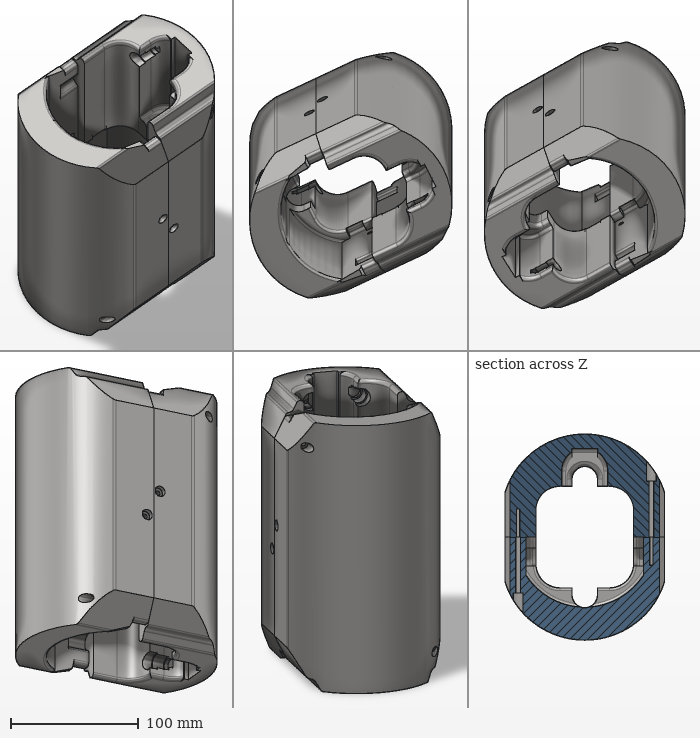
import cadquery as cq
import math

length = 219.0
width = 125.0
depth = 161.4
flat_half = 34.8
flat_blend = 7.9
end_face_width = 95.7
bevel_height = 29.0
edge_round = 2.0

rebate_inset = 4.4
rebate_depth = 9.0
rebate_inner_round = 4.8
rebate_outer_round = 2.0

bore_half = 38.0
bore_reach = 39.6
bore_corner = 18.6
key_radius = 9.9
key_center = 45.3
key_round = 4.2
slot_radius = 18.0
slot_center = 51.7
slot_reach = 65.7
slot_depth = 87.5
slot_round = 3.0
notch_half = 10.0
notch_reach = 69.2
cavity_radius = 54.7
cavity_half = 45.8
cavity_floor = 0.0
cavity_round = 2.2

passage_depth = 11.2
passage_length = 13.1
passage_round = 3.0
ramp_start = 15.0
ramp_start_depth = 6.1
ramp_end = 31.5

floor_round = 2.2
floor_slot_start = 8.5
floor_slot_end = 22.8
floor_slot_depth = 6.5
floor_slot_round = 2.8

latch_radius = 7.2
latch_x = 20.4
latch_inset = 14.2
latch_step = 46.0
latch_middle_radius = 6.1
latch_middle_end = 55.8
latch_tip_radius = 4.8
latch_end = 59.1
pocket_x = 45.1
pocket_inset = 31.8
pocket_reach = 18.0
pocket_round = 2.2

side_screw_y = 5.7
side_screw_z = 11.0
side_head_depth = 4.4
side_head = 8.5
side_shank = 4.0
face_screw_x = 52.1
face_screw_inset = 21.7
face_head_floor = 43.8
face_head = 7.5
face_shank = 3.5
pilot_diameter = 2.5
pilot_depth = 22.0

arc_inset = 1 - math.sqrt(0.5)
half_length = length / 2
half_width = width / 2
half_depth = depth / 2
bevel_width = (width - end_face_width) / 2
bevel_slope = bevel_width / bevel_height
end_half = end_face_width / 2
rebate_z = half_length - rebate_depth
rebate_outer = end_half + rebate_depth * bevel_slope
rebate_inner = rebate_outer - rebate_inset
rebate_top = end_half - rebate_inset
slot_floor = -half_length + slot_depth
passage_floor = half_length - passage_depth
passage_edge = end_half + passage_depth * bevel_slope


def block(x_half, y_reach, z_low, z_high, y_start=0.0):
    """Block centred on x = 0, running from y_start to y_reach on the -Y side."""
    return (
        cq.Workplane("XY")
        .box(2 * x_half, y_reach - y_start, z_high - z_low, centered=(True, False, False))
        .translate((0, -y_reach, z_low))
    )


def rod_y(x, z, diameter, reach, start=0.0):
    """Round cutter along -Y from y = -start to y = -reach."""
    return (
        cq.Workplane("XZ", origin=(x, -start, z)).circle(diameter / 2).extrude(reach - start)
    )


def upright_slot(radius, center, z_low, z_high):
    """Round-ended slot from the joint plane towards -Y."""
    return (
        cq.Workplane("XY", origin=(0, 0, z_low))
        .moveTo(radius, 0)
        .lineTo(radius, -center)
        .threePointArc((0, -center - radius), (-radius, -center))
        .lineTo(-radius, 0)
        .close()
        .extrude(z_high - z_low)
    )


def edges_near(body, points):
    """Selects the edges of the body nearest to the given points."""
    selection = body.edges(cq.NearestToPointSelector(points[0]))
    for point in points[1:]:
        selection = selection.add(body.edges(cq.NearestToPointSelector(point)))
    return selection


def outer_block():
    """D-shaped half prism trimmed to the bevelled and rebated side profile."""
    prism = (
        cq.Workplane("XY", origin=(0, 0, -half_length))
        .moveTo(half_width, 0)
        .lineTo(half_width, -flat_half)
        .threePointArc((0, -half_depth), (-half_width, -flat_half))
        .lineTo(-half_width, 0)
        .close()
        .extrude(length)
    )
    sides = (-1, 1)
    flat_corners = [(s * half_width, -flat_half, 0) for s in sides]
    prism = edges_near(prism, flat_corners).fillet(flat_blend)

    right_side = [
        (rebate_top, -half_length),
        (rebate_inner, -rebate_z),
        (rebate_outer, -rebate_z),
        (half_width, -half_length + bevel_height),
        (half_width, half_length - bevel_height),
        (end_half, half_length),
    ]
    left_side = [(-x, z) for x, z in reversed(right_side)]
    profile = cq.Workplane("XZ").polyline(right_side + left_side).close().extrude(depth)
    y_mid = -half_depth
    end_corners = [(s * end_half, y_mid, half_length) for s in sides]
    end_corners += [(s * rebate_top, y_mid, -half_length) for s in sides]
    profile = edges_near(profile, end_corners).fillet(edge_round)
    for x, radius in ((rebate_inner, rebate_inner_round), (rebate_outer, rebate_outer_round)):
        corners = [(s * x, y_mid, -rebate_z) for s in sides]
        profile = edges_near(profile, corners).fillet(radius)
    return prism.intersect(profile)


def cut_with_round_rim(body, cutter):
    """Cuts an opening into the closed end and rounds its rim on the end face."""
    margin = 0.2
    rim_zone = cq.selectors.BoxSelector(
        (-bore_half - margin, -margin, -half_length - margin),
        (bore_half + margin, -slot_center - slot_radius - margin, -half_length + margin),
    )
    return body.cut(cutter).edges(rim_zone).fillet(slot_round)


def cut_closed_end(body):
    """Bore, wide keyway and flat-backed notch; the rims of bore and keyway are rounded."""
    bore = block(bore_half, bore_reach, -half_length, cavity_floor)
    bore = bore.edges("|Z and <Y").fillet(bore_corner)
    slot = upright_slot(slot_radius, slot_center, -half_length, slot_floor)
    slot = slot.faces(">Z").edges("not >Y").fillet(slot_round)
    notch = block(notch_half, notch_reach, -half_length, slot_floor)
    notch = notch.faces(">Z").edges("<Y").fillet(slot_round)
    with_bore = cut_with_round_rim(body, bore)
    slot_space = body.cut(cut_with_round_rim(body, slot))
    slot_space = slot_space.intersect(block(half_width, slot_reach, -half_length, half_length))
    return with_bore.cut(slot_space).cut(notch)


def level_passage():
    """Level part of the right-hand passage, with rounded floor edges."""
    bevel_angle = math.atan2(bevel_height, bevel_width)
    tangent = passage_round * math.tan(bevel_angle / 2)
    arc_mid = passage_round * math.sin(bevel_angle / 2)
    arc_drop = passage_round * (1 - math.cos(bevel_angle / 2))
    outer_start = passage_edge - tangent
    outer_end = (
        passage_edge + tangent * math.cos(bevel_angle),
        passage_floor - tangent * math.sin(bevel_angle),
    )
    inner_start = cavity_half + passage_round
    inner_mid = passage_round * arc_inset
    return (
        cq.Workplane("XZ")
        .moveTo(cavity_half, half_length)
        .lineTo(half_width, half_length)
        .lineTo(half_width, outer_end[1])
        .lineTo(*outer_end)
        .threePointArc((outer_start + arc_mid, passage_floor - arc_drop), (outer_start, passage_floor))
        .lineTo(inner_start, passage_floor)
        .threePointArc(
            (cavity_half + inner_mid, passage_floor - inner_mid),
            (cavity_half, passage_floor - passage_round),
        )
        .close()
        .extrude(passage_length)
    )


def passage_ramp():
    """Upper part of the right-hand passage, with the ramp that rises to the end face."""
    return (
        cq.Workplane("YZ", origin=(cavity_half, 0, 0))
        .moveTo(0, half_length)
        .lineTo(0, passage_floor)
        .lineTo(-passage_length, passage_floor)
        .lineTo(-ramp_start, half_length - ramp_start_depth)
        .lineTo(-ramp_end, half_length)
        .close()
        .extrude(half_width - cavity_half)
    )


def cut_open_end(body):
    """Round cavity with flat side walls and passages that break through the bevels."""
    rim_mid = cavity_round * arc_inset
    round_space = (
        cq.Workplane("XZ")
        .moveTo(0, cavity_floor)
        .lineTo(cavity_radius, cavity_floor)
        .lineTo(cavity_radius, half_length - cavity_round)
        .threePointArc(
            (cavity_radius + rim_mid, half_length - rim_mid),
            (cavity_radius + cavity_round, half_length),
        )
        .lineTo(0, half_length)
        .close()
        .revolve(360, (0, 0, 0), (0, 1, 0))
    )
    cavity = round_space.intersect(block(cavity_half, depth, cavity_floor, half_length))
    cavity = edges_near(cavity, [(0, -cavity_radius, cavity_floor)]).fillet(cavity_round)
    body = body.cut(cavity)
    for passage in (level_passage(), passage_ramp()):
        body = body.cut(passage).cut(passage.mirror("YZ"))
    return body


def cut_keyway(body):
    """Round-ended keyway through the half, rounded where it meets the floor of the wide keyway."""
    key = upright_slot(key_radius, key_center, -half_length, half_length)
    body = body.cut(key)
    rim = [(0, -key_center - key_radius, slot_floor)]
    rim += [(side * key_radius, -(bore_reach + key_center) / 2, slot_floor) for side in (-1, 1)]
    return edges_near(body, rim).fillet(key_round)


def round_cavity_floor(body):
    """Rounds the bore edge on the cavity floor."""
    corner_mid = bore_corner * arc_inset
    edges = []
    for side in (-1, 1):
        edges.append((side * (bore_half - corner_mid), -bore_reach + corner_mid, cavity_floor))
        edges.append((side * bore_half, -(bore_reach - bore_corner) / 2, cavity_floor))
        edges.append((side * (key_radius + bore_half - bore_corner) / 2, -bore_reach, cavity_floor))
    return edges_near(body, edges).fillet(floor_round)


def cut_floor_slots(body):
    """Shallow slots in the cavity floor beside the bore."""
    for side in (-1, 1):
        slot = block(
            (cavity_half - bore_half) / 2,
            floor_slot_end,
            cavity_floor - floor_slot_depth,
            cavity_floor,
            floor_slot_start,
        )
        slot = slot.faces("<Z").edges("|Y").fillet(floor_slot_round)
        body = body.cut(slot.translate((side * (cavity_half + bore_half) / 2, 0, 0)))
    return body


def cut_latch_recesses(body):
    """Stepped recesses between bore and wide keyway, and round pockets in the cavity walls."""
    for side in (-1, 1):
        latch_z = latch_inset - half_length
        pocket_z = half_length - pocket_inset
        for radius, reach in (
            (latch_radius, latch_step),
            (latch_middle_radius, latch_middle_end),
            (latch_tip_radius, latch_end),
        ):
            body = body.cut(rod_y(side * latch_x, latch_z, 2 * radius, reach))
        body = body.cut(rod_y(side * pocket_x, pocket_z, 2 * latch_radius, pocket_reach))
    pocket_edges = [
        (side * cavity_half, -pocket_reach / 2, half_length - pocket_inset + end * latch_radius)
        for side in (-1, 1)
        for end in (-1, 1)
    ]
    return edges_near(body, pocket_edges).fillet(pocket_round)


def cut_side_screws(body):
    """Counterbored screw holes through both side flats."""
    for side in (-1, 1):
        start = cq.Vector(side * half_width, -side_screw_y, side_screw_z)
        inward = cq.Vector(-side, 0, 0)
        shank = cq.Solid.makeCylinder(side_shank / 2, half_width, start, inward)
        head = cq.Solid.makeCylinder(side_head / 2, side_head_depth, start, inward)
        body = body.cut(cq.Workplane(shank)).cut(cq.Workplane(head))
    return body


def cut_face_screws(body):
    """Counterbored screw holes along Y, and pilot holes for the screws of the other half."""
    screw_z = half_length - face_screw_inset
    for x, z in ((-face_screw_x, screw_z), (face_screw_x, -screw_z)):
        body = body.cut(rod_y(x, z, face_head, half_depth, face_head_floor))
        body = body.cut(rod_y(x, z, face_shank, half_depth))
        body = body.cut(rod_y(x, -z, pilot_diameter, pilot_depth))
    return body


def housing_half(turn):
    """One half, made on the -Y side and turned about X into its place."""
    body = outer_block()
    body = cut_closed_end(body)
    body = cut_open_end(body)
    body = cut_keyway(body)
    body = round_cavity_floor(body)
    body = cut_floor_slots(body)
    body = cut_latch_recesses(body)
    body = cut_side_screws(body)
    body = cut_face_screws(body)
    return body.rotate((0, 0, 0), (1, 0, 0), turn)


halves = [housing_half(turn) for turn in (0, 180)]
result = cq.Compound.makeCompound([half.val() for half in halves])